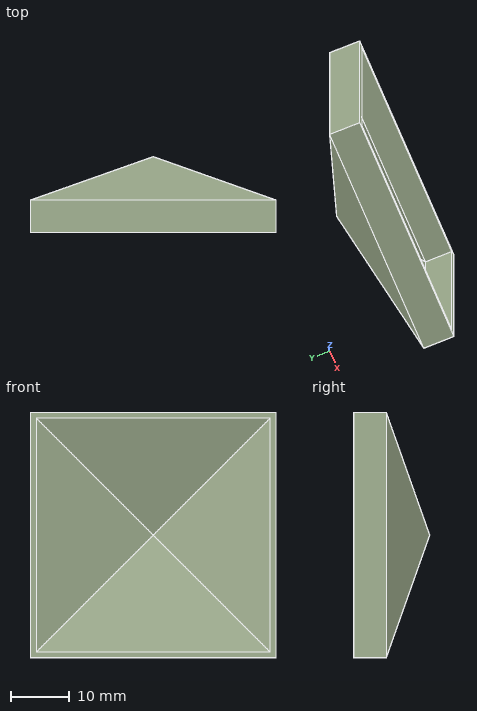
import cadquery as cq
import math

side = 42.0
total_height = 13.0
skirt_height = 5.6
wall = 1.0

roof_rise = total_height - skirt_height
roof_slope = roof_rise / (side / 2)
roof_drop = wall * math.hypot(1, roof_slope)
cavity_side = side - 2 * wall
cavity_height = total_height - roof_drop
cavity_skirt_height = cavity_height - roof_slope * cavity_side / 2


def pyramid_block(width, skirt, height):
    """Square block rising along +Y from the XZ plane, topped by a pyramid."""
    half = width / 2
    prism_x = (
        cq.Workplane("XY")
        .polyline([(-half, 0), (half, 0), (half, skirt), (0, height), (-half, skirt)])
        .close()
        .extrude(half, both=True)
    )
    prism_z = prism_x.rotate((0, 0, 0), (0, 1, 0), 90)
    return prism_x.intersect(prism_z)


outer = pyramid_block(side, skirt_height, total_height)
cavity = pyramid_block(cavity_side, cavity_skirt_height, cavity_height)

result = outer.cut(cavity)